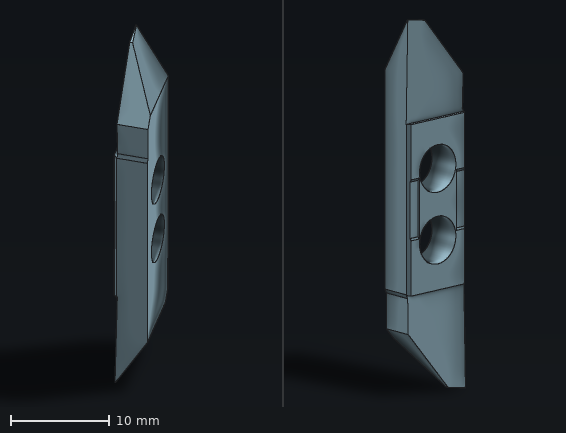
import cadquery as cq
import math

length = 40.0
width = 8.0
thickness = 3.6
half_length = length / 2
half_width = width / 2
back_x = thickness / 2
pad_face_x = -thickness / 2

pad_half_length = 9.0
pad_chamfer = 0.3

rake_root_depth = 0.4
rake_tip_depth = 0.15
rake_root_x = pad_face_x + rake_root_depth
tip_x = pad_face_x + rake_tip_depth

edge_inner_y = 1.6
edge_drop = 0.45
neck_inset = 0.2
shoulder_z = 13.1
neck_root_z = 9.3
neck_step_z = 8.9
relief_angle = 60.0
land_width = 0.1

hole_diameter = 5.0
hole_offset = 3.75

recess_depth = 0.1
recess_inner_y = 2.55
recess_wall_run = 0.1
recess_half_length = 3.2
recess_end_run = 0.25


def turned(shape):
    """Half-turn about X, which carries one cutting end onto the other."""
    return shape.rotate((0, 0, 0), (1, 0, 0), 180)


def bar():
    """Outline in Y and Z, extruded through the full thickness."""
    upper_half = [
        (half_width, half_length),
        (edge_inner_y, half_length - edge_drop),
        (neck_inset - half_width, shoulder_z),
        (neck_inset - half_width, neck_root_z),
        (-half_width, neck_step_z),
    ]
    lower_half = [(-y, -z) for y, z in upper_half]
    blank = cq.Workplane("YZ").polyline(upper_half + lower_half).close().extrude(thickness)
    return blank.translate((pad_face_x, 0, 0))


def across_width(points):
    """Prism over the whole width from an outline in X and Z."""
    return cq.Workplane("XZ").polyline(points).close().extrude(half_width, both=True)


def rake_cutter():
    """Material in front of the upper rake face."""
    return across_width([
        (pad_face_x, pad_half_length),
        (rake_root_x, pad_half_length),
        (tip_x, half_length),
        (pad_face_x, half_length),
    ])


def relief_cutter():
    """Material above the flank that falls away behind the narrow land at the upper cutting edge."""
    relief_start_x = tip_x + land_width
    drop = (back_x - relief_start_x) * math.tan(math.radians(relief_angle))
    return across_width([
        (relief_start_x, half_length),
        (back_x, half_length),
        (back_x, half_length - drop),
    ])


def pad_edge_cutter():
    """Chamfer along the -Y edge of the pad."""
    corner = [
        (pad_face_x, -half_width),
        (pad_face_x + pad_chamfer, -half_width),
        (pad_face_x, pad_chamfer - half_width),
    ]
    return cq.Workplane("XY").polyline(corner).close().extrude(pad_half_length, both=True)


def recess_cutter():
    """Recess at the -Y side of the pad, narrowing from its mouth to its floor."""
    outer_y = -half_width
    mouth_width = half_width - recess_inner_y
    floor_width = mouth_width - recess_wall_run
    mouth_length = 2 * recess_half_length
    floor_length = mouth_length - 2 * recess_end_run
    return (
        cq.Workplane("YZ", origin=(pad_face_x, 0, 0))
        .center(outer_y + mouth_width / 2, 0)
        .rect(mouth_width, mouth_length)
        .workplane(offset=recess_depth)
        .center(-recess_wall_run / 2, 0)
        .rect(floor_width, floor_length)
        .loft(ruled=True)
    )


def holes():
    """Two clamping holes through the thickness."""
    return (
        cq.Workplane("YZ", origin=(pad_face_x, 0, 0))
        .pushPoints([(0, hole_offset), (0, -hole_offset)])
        .circle(hole_diameter / 2)
        .extrude(thickness)
    )


result = bar().cut(holes())
for make_cutter in (rake_cutter, relief_cutter, pad_edge_cutter, recess_cutter):
    cutter = make_cutter()
    result = result.cut(cutter).cut(turned(cutter))